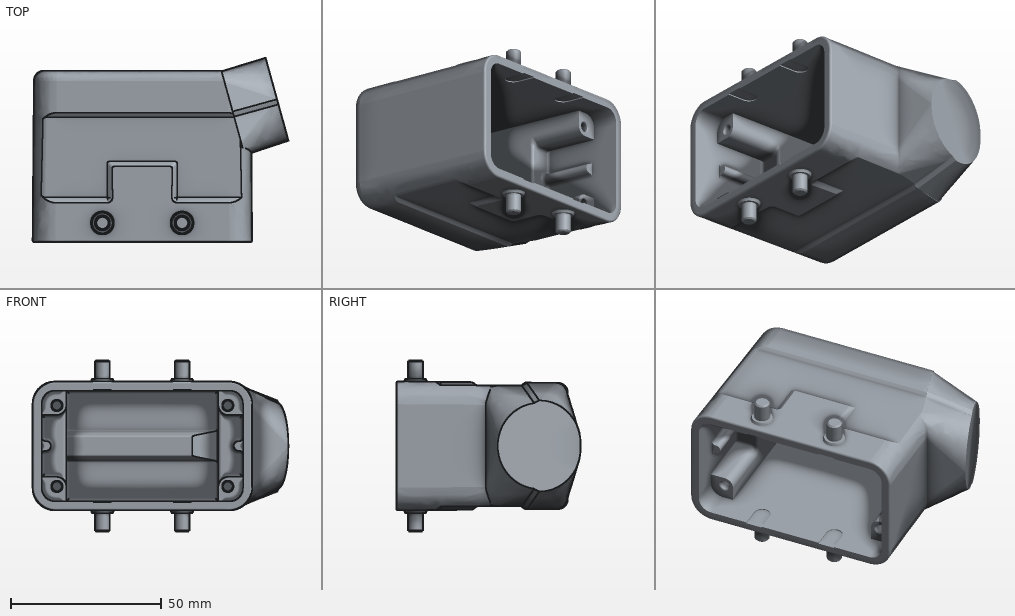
import cadquery as cq
import math


body_length = 73.1
body_width = 42.9
body_depth = 57.1
body_draft_step = 0.47
body_corner_radius = 7.6
back_edge_radius = 3.5
rim_edge_radius = 0.7

wall = 3.1
cavity_corner_radius = 4.4
main_pocket_length = 50.6
end_floor_depth = 29.0
floor_edge_radius = 1.0

post_front = 9.4
post_radius = 3.15
screw_spacing_x = 56.8
screw_spacing_z = 26.9
screw_hole_radius = 1.6
screw_hole_depth = 15.3
screw_chamfer = 0.3
screw_chamfer_angle = 45

rib_front = 10.2
rib_radius = 1.6
rib_reach = 3.1
rib_root_radius = 1.2

ridge_height = 3.4
ridge_base_width = 10.2
ridge_top_width = 6.65
ridge_edge_radius = 0.8
ridge_root_radius = 0.6
ramp_length = 8.8

recess_plane = 20.1
recess_bottom = 14.9
recess_top = 41.6
recess_wall_slope = 55.0
tab_left = -11.7
tab_right = 11.6
tab_top = 26.8
recess_cut_height = 1.7
tab_corner_radius = 1.3
recess_edge_radius = 2.1

pin_positions_x = (-13.3, 13.2)
pin_y = 6.4
pin_diameter = 5.0
pin_span = 57.0
pin_chamfer = 0.5
collar_radius = 3.8
collar_top_radius = 3.4
collar_top = 22.3
groove_radius = 2.8
groove_depth = 0.3

outlet_tilt = 15.4
outlet_radius = 14.3
outlet_end_x = 44.8
outlet_end_y = 47.5
outlet_length = 15.3
outlet_base_top = 13.9
outlet_base_bottom = -15.1
outlet_base_half_width = 20.95
upper_corner_radius = 3.8
lower_corner_radius = 4.7
ledge_inset = 0.85
ledge_height = 1.8
end_flat = 0.04
outlet_cut_bottom = -10.2

pick_margin = 0.1

cavity_length = body_length - 2 * wall
cavity_width = body_width - 2 * wall
back_floor_depth = body_depth - wall
pin_radius = pin_diameter / 2


def rim_plane(y):
    """Plane at depth y looking into the hood."""
    return cq.Workplane(cq.Plane(origin=(0, y, 0), xDir=(1, 0, 0), normal=(0, 1, 0)))


def make_body():
    """Drafted block with the same corner radius at the rim and the back, cut away at the outlet."""
    rim = cq.Sketch().rect(body_length, body_width)
    back = cq.Sketch().rect(body_length - 2 * body_draft_step, body_width - 2 * body_draft_step)
    rim = rim.vertices().fillet(body_corner_radius)
    back = back.vertices().fillet(body_corner_radius)
    back = back.moved(cq.Location(cq.Vector(0, 0, body_depth)))
    body = rim_plane(0).placeSketch(rim, back).loft(ruled=True)
    body = body.faces(">Y").edges().fillet(back_edge_radius)
    body = body.faces("<Y").edges().fillet(rim_edge_radius)
    clearance = outlet_workplane().center(0, outlet_cut_bottom + body_width / 2)
    clearance = clearance.rect(2 * body_width, body_width).extrude(body_width)
    return body.cut(clearance)


def make_recess():
    """Sloping-walled cut on the +Z side, open at both ends, with a tab left standing."""
    run_out = body_length
    outline = [
        (-run_out, recess_bottom),
        (tab_left, recess_bottom),
        (tab_left, tab_top),
        (tab_right, tab_top),
        (tab_right, recess_bottom),
        (run_out, recess_bottom),
        (run_out, recess_top),
        (-run_out, recess_top),
    ]
    floor = cq.Workplane("XY", origin=(0, 0, recess_plane)).polyline(outline).close()
    recess = floor.extrude(recess_cut_height, taper=-recess_wall_slope)
    tab_corners = cq.selectors.BoxSelector(
        (2 * tab_left, 0, recess_plane + pick_margin),
        (2 * tab_right, body_depth, recess_plane + recess_cut_height - pick_margin),
    )
    return recess.edges(tab_corners).edges("not #Z").edges("not |X").fillet(tab_corner_radius)


def soften_recess_edges(body):
    """Round the edges where the recess floors run out into the corners of the closed end."""
    for side in (-1, 1):
        floor = side * recess_plane
        edge = cq.selectors.BoxSelector(
            (-body_length / 2, 0, floor - pick_margin),
            (body_corner_radius - body_length / 2, body_depth, floor + pick_margin),
        )
        body = body.edges(edge).fillet(recess_edge_radius)
    return body


def outlet_workplane():
    """Plane at the outlet base, square to its axis; local y runs up the tilted end face."""
    tilt = math.radians(outlet_tilt)
    axis = cq.Vector(math.cos(tilt), math.sin(tilt), 0)
    origin = cq.Vector(outlet_end_x, outlet_end_y, 0) - axis * outlet_length
    return cq.Workplane(cq.Plane(origin=origin, xDir=(0, 0, -1), normal=axis))


def outlet_shell(base_half_width, base_radius, end_half_width):
    """Ruled shell from a rounded rectangle to a circle with very short flats."""
    base_height = outlet_base_top - outlet_base_bottom
    base_middle = (outlet_base_top + outlet_base_bottom) / 2
    base = cq.Sketch().rect(2 * base_half_width, base_height).vertices().fillet(base_radius)
    end = cq.Sketch().rect(2 * end_half_width, 2 * outlet_radius).vertices().fillet(outlet_radius - end_flat)
    base = base.moved(cq.Location(cq.Vector(0, base_middle, 0)))
    end = end.moved(cq.Location(cq.Vector(0, 0, outlet_length)))
    return outlet_workplane().placeSketch(base, end).loft(ruled=True)


def outlet_ledge():
    """Sloping underside that carries the wider upper half down to the lower half."""

    def section(outer, distance):
        inner = outer - ledge_inset
        points = [(-outer, 0), (outer, 0), (inner, -ledge_height), (-inner, -ledge_height), (-outer, 0)]
        return cq.Sketch().polygon(points).moved(cq.Location(cq.Vector(0, 0, distance)))

    base = section(outlet_base_half_width, 0)
    end = section(outlet_radius + ledge_inset, outlet_length)
    return outlet_workplane().placeSketch(base, end).loft(ruled=True)


def make_outlet():
    """Cable outlet whose upper half is wider than its lower half."""
    upper = outlet_shell(outlet_base_half_width, upper_corner_radius, outlet_radius + ledge_inset)
    upper_side = outlet_workplane().center(0, body_width / 2).rect(2 * body_width, body_width)
    upper = upper.intersect(upper_side.extrude(outlet_length))
    lower = outlet_shell(outlet_base_half_width - ledge_inset, lower_corner_radius, outlet_radius)
    return lower.union(outlet_ledge()).union(upper)


def make_cavity():
    """Shallow opening, deep main pocket and an end pocket between each pair of posts."""
    half_length = main_pocket_length / 2
    end_pocket_width = screw_spacing_z - 2 * post_radius
    main_pocket = rim_plane(0).rect(main_pocket_length, cavity_width).extrude(back_floor_depth)
    end_pockets = rim_plane(0).rect(cavity_length, end_pocket_width).extrude(end_floor_depth)
    pockets = main_pocket.union(end_pockets)

    post_corners = cq.selectors.BoxSelector(
        (-half_length - pick_margin, 0, -end_pocket_width / 2 - pick_margin),
        (half_length + pick_margin, end_floor_depth, end_pocket_width / 2 + pick_margin),
    )
    pockets = pockets.edges("|Y").edges(post_corners).fillet(post_radius)
    end_floors = cq.selectors.BoxSelector(
        (-body_length, end_floor_depth - pick_margin, -body_width),
        (body_length, end_floor_depth + pick_margin, body_width),
    )
    pockets = pockets.faces(end_floors).edges().fillet(floor_edge_radius)
    pockets = pockets.faces(">Y").edges().fillet(floor_edge_radius)

    opening = rim_plane(0).rect(cavity_length, cavity_width).extrude(post_front)
    return pockets.union(opening.edges("|Y").fillet(cavity_corner_radius))


def make_ridge():
    """Ridge along the back of the main pocket, ramping down to the floor at the outlet end."""
    half_length = main_pocket_length / 2
    half_base = ridge_base_width / 2
    half_top = ridge_top_width / 2
    profile = [
        (-half_base, back_floor_depth),
        (-half_top, back_floor_depth - ridge_height),
        (half_top, back_floor_depth - ridge_height),
        (half_base, back_floor_depth),
    ]
    start = cq.Plane(origin=(-half_length, 0, 0), xDir=(0, 0, 1), normal=(-1, 0, 0))
    ridge = cq.Workplane(start).polyline(profile).close().extrude(-main_pocket_length)
    ramp = [
        (half_length - ramp_length, back_floor_depth - ridge_height),
        (half_length, back_floor_depth - ridge_height),
        (half_length, back_floor_depth),
    ]
    ramp_cut = cq.Workplane("XY").polyline(ramp).close().extrude(half_base, both=True)
    ridge = ridge.edges("|X").edges("<Y").fillet(ridge_edge_radius)
    return ridge.cut(ramp_cut)


def make_guide_rib(side):
    """Half-round rib on the end wall at side -1 or +1."""
    wall_x = side * cavity_length / 2
    tip_x = wall_x - side * rib_reach
    length = rib_reach + rib_radius
    rib = rim_plane(rib_front).center(tip_x + side * length / 2, 0)
    return rib.slot2D(length, 2 * rib_radius).extrude(end_floor_depth - rib_front)


def make_screw_holes():
    """Blind screw holes with chamfered mouths, one in each post."""
    posts = rim_plane(post_front).rect(screw_spacing_x, screw_spacing_z, forConstruction=True).vertices()
    holes = posts.circle(screw_hole_radius).extrude(screw_hole_depth)
    mouths = posts.circle(screw_hole_radius + screw_chamfer).extrude(screw_chamfer, taper=screw_chamfer_angle)
    return holes.union(mouths)


def make_pin(x, side):
    """Locking pin with a conical collar on the side wall at side -1 or +1."""
    root = body_width / 2 - wall / 2
    tip = pin_span / 2
    profile = [
        (0, root),
        (collar_radius, root),
        (collar_radius, body_width / 2),
        (collar_top_radius, collar_top),
        (pin_radius, collar_top),
        (pin_radius, tip - pin_chamfer),
        (pin_radius - pin_chamfer, tip),
        (0, tip),
    ]
    plane = cq.Plane(origin=(x, pin_y, 0), xDir=(1, 0, 0), normal=(0, -side, 0))
    return cq.Workplane(plane).polyline(profile).close().revolve(360, (0, 0, 0), (0, 1, 0))


def make_pin_groove(x, side):
    """Shallow groove in the cavity wall from the rim to a round end behind the pin."""
    bottom = side * (cavity_width / 2 + groove_depth)
    groove = cq.Workplane("XY", origin=(x, 0, bottom)).moveTo(-groove_radius, 0).lineTo(-groove_radius, pin_y)
    groove = groove.threePointArc((0, pin_y + groove_radius), (groove_radius, pin_y))
    return groove.lineTo(groove_radius, 0).close().extrude(-side * 2 * groove_depth)


def blend_inner_roots(hood):
    """Fillet the feet of the guide ribs and of the ridge."""
    half_length = main_pocket_length / 2
    half_cavity = cavity_length / 2
    for inner, outer in ((half_length + 2 * floor_edge_radius, half_cavity), (-half_cavity, -half_length)):
        foot = cq.selectors.BoxSelector(
            (inner, end_floor_depth - floor_edge_radius, -2 * rib_radius),
            (outer, end_floor_depth + floor_edge_radius, 2 * rib_radius),
        )
        hood = hood.edges(foot).fillet(rib_root_radius)
    ridge_foot = cq.selectors.BoxSelector(
        (-half_length, back_floor_depth - pick_margin, -ridge_base_width),
        (half_length, back_floor_depth + pick_margin, ridge_base_width),
    )
    ridge_roots = hood.edges(ridge_foot).edges("|X").edges(cq.selectors.LengthNthSelector(0))
    return ridge_roots.fillet(ridge_root_radius)


recess = make_recess()
body = make_body().cut(recess).cut(recess.mirror("XY"))
hood = soften_recess_edges(body).union(make_outlet())
hood = hood.cut(make_cavity()).union(make_ridge())

for side in (-1, 1):
    hood = hood.union(make_guide_rib(side))

hood = blend_inner_roots(hood).cut(make_screw_holes())

for side in (-1, 1):
    for pin_x in pin_positions_x:
        hood = hood.union(make_pin(pin_x, side)).cut(make_pin_groove(pin_x, side))

result = hood